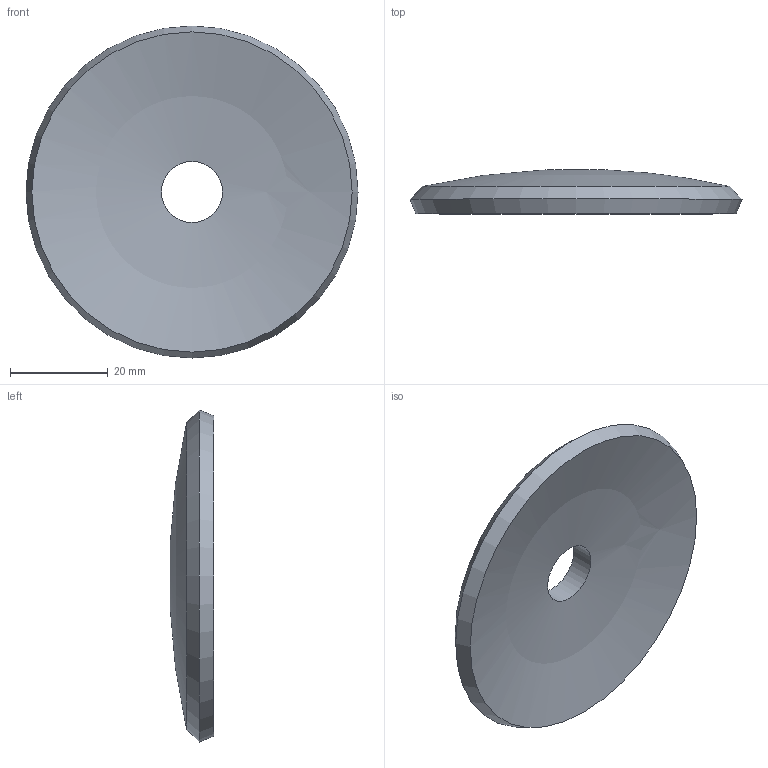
import cadquery as cq
import math

outer_radius = 68.0 / 2
thickness = 9.0
bore_radius = 12.5 / 2
front_rim_radius = 32.8
edge_height = 3.0
shoulder_radius = 31.5
shoulder_height = 5.6
dish_depth = 4.1


def arc_midpoint(inner, outer):
    """Middle point of the arc from inner to outer whose centre lies on the disc axis."""
    (inner_r, inner_y), (outer_r, outer_y) = inner, outer
    centre_y = (outer_r**2 - inner_r**2 + outer_y**2 - inner_y**2) / (2 * (outer_y - inner_y))
    sphere_radius = math.hypot(inner_r, inner_y - centre_y)
    mid_r = (inner_r + outer_r) / 2
    return mid_r, centre_y + math.sqrt(sphere_radius**2 - mid_r**2)


dish_bore_edge = (bore_radius, dish_depth)
front_rim = (front_rim_radius, 0)
outer_edge = (outer_radius, edge_height)
shoulder = (shoulder_radius, shoulder_height)
dome_bore_edge = (bore_radius, thickness)

profile = (
    cq.Workplane("XY")
    .moveTo(*dish_bore_edge)
    .threePointArc(arc_midpoint(dish_bore_edge, front_rim), front_rim)
    .lineTo(*outer_edge)
    .lineTo(*shoulder)
    .threePointArc(arc_midpoint(dome_bore_edge, shoulder), dome_bore_edge)
    .close()
)

result = profile.revolve(360, (0, 0, 0), (0, 1, 0))